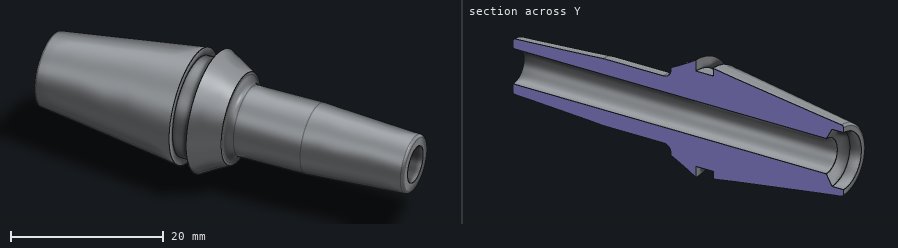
import cadquery as cq
import math

total_length = 52.5
plug_end = 20.75
flange_start = 23.4
flange_end = 27.45
shank_end = 38.1

plug_tip_radius = 5.15
plug_base_radius = 8.05
groove_radius = 6.95
flange_radius = 8.53
flange_back_radius = 6.35
shank_radius = 4.9
spigot_tip_radius = 4.05

end_round = 0.35
root_fillet = 1.1

bore_radius = 2.5
counterbore_radius = 4.1
counterbore_depth = 1.85
drill_point_angle = 120.0


def make_body():
    """Revolve the stepped outer profile around the X axis and round its ends."""
    arc_middle = (
        flange_end + root_fillet * (1 - math.sqrt(0.5)),
        shank_radius + root_fillet * (1 - math.sqrt(0.5)),
    )
    profile = (
        cq.Workplane("XY")
        .moveTo(0, 0)
        .lineTo(0, plug_tip_radius)
        .lineTo(plug_end, plug_base_radius)
        .lineTo(plug_end, groove_radius)
        .lineTo(flange_start, groove_radius)
        .lineTo(flange_start, flange_radius)
        .lineTo(flange_end, flange_back_radius)
        .lineTo(flange_end, shank_radius + root_fillet)
        .threePointArc(arc_middle, (flange_end + root_fillet, shank_radius))
        .lineTo(shank_end, shank_radius)
        .lineTo(total_length, spigot_tip_radius)
        .lineTo(total_length, 0)
        .close()
    )
    body = profile.revolve(360, (0, 0, 0), (1, 0, 0))
    return body.faces("<X or >X").edges().fillet(end_round)


def make_bore():
    """Through bore, opening through a conical seat into the counterbore."""
    half_angle = math.radians(drill_point_angle / 2)
    cone_depth = (counterbore_radius - bore_radius) / math.tan(half_angle)
    profile = (
        cq.Workplane("XY")
        .moveTo(0, 0)
        .lineTo(0, counterbore_radius)
        .lineTo(counterbore_depth, counterbore_radius)
        .lineTo(counterbore_depth + cone_depth, bore_radius)
        .lineTo(total_length, bore_radius)
        .lineTo(total_length, 0)
        .close()
    )
    return profile.revolve(360, (0, 0, 0), (1, 0, 0))


result = make_body().cut(make_bore())